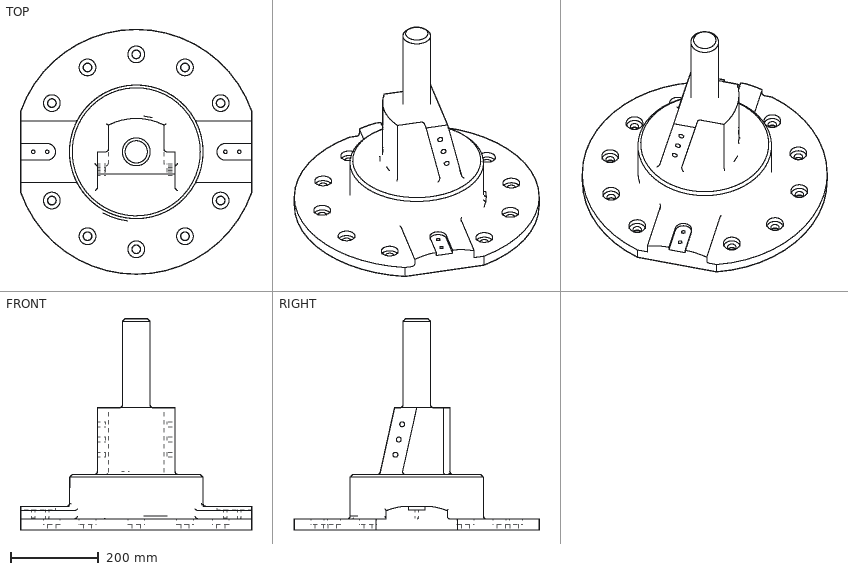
import cadquery as cq
import math

EDGE_SIZE = 6.35

PLATE_RADIUS = 279.4
PLATE_WIDTH = 527.05
PLATE_THICKNESS = 25.4

BOLT_CIRCLE_RADIUS = 222.25
BOLT_PITCH_COUNT = 12
BOLT_HOLE_DIAMETER = 19.05
COUNTERBORE_DIAMETER = 38.1
COUNTERBORE_DEPTH = 12.7

HUB_RADIUS = 152.4
HUB_TOP = 127.0

RAIL_HALF_WIDTH = 69.85
RAIL_SHOULDER_Z = 44.45
RAIL_CROWN_RADIUS = 203.2
RAIL_FLAT_HALF_WIDTH = 31.75

KEYWAY_WIDTH = 38.1
KEYWAY_DEPTH = 7.9375
KEYWAY_END_X = 203.2
TAPPED_HOLE_PITCH = 31.75
TAPPED_HOLE_DIAMETER = 7.9375
TAPPED_HOLE_DEPTH = 19.05
DRILL_POINT_ANGLE = math.radians(118)

BLOCK_TOP = 279.4
HEAD_HALF_WIDTH = 88.9
HEAD_FRONT_Y = -50.8
HEAD_BACK_Y = 0.0
HEAD_TILT = math.radians(12.5)
BACK_HALF_WIDTH = 63.5
BACK_ARC_RADIUS = 139.7
BACK_ARC_CROWN_Y = 76.2

SIDE_HOLE_DIAMETER = 11.1125
SIDE_HOLE_DEPTH = 19.05
SIDE_HOLE_PITCH = 35.56
SIDE_HOLE_MIDDLE_Z = 206.6
SIDE_HOLE_SETBACK = 25.4

SHAFT_RADIUS = 31.75
SHAFT_TOP = 482.6

RAIL_CROWN_CENTRE_Z = RAIL_SHOULDER_Z - math.sqrt(RAIL_CROWN_RADIUS**2 - RAIL_HALF_WIDTH**2)
RAIL_TOP = RAIL_CROWN_CENTRE_Z + math.sqrt(RAIL_CROWN_RADIUS**2 - RAIL_FLAT_HALF_WIDTH**2)
SMALL_GAP = 0.01


def tilted_y(y_at_top, z):
    """Y at height z of a line that leans with the block head."""
    return y_at_top - (BLOCK_TOP - z) * math.tan(HEAD_TILT)


def make_plate():
    disc = cq.Workplane("XY").circle(PLATE_RADIUS).extrude(PLATE_THICKNESS)
    flats = cq.Workplane("XY").rect(PLATE_WIDTH, 2 * PLATE_RADIUS).extrude(PLATE_THICKNESS)
    return disc.intersect(flats)


def make_rails():
    """One bar across the plate; the hub covers its middle."""
    mid_y = (RAIL_HALF_WIDTH + RAIL_FLAT_HALF_WIDTH) / 2
    mid_z = RAIL_CROWN_CENTRE_Z + math.sqrt(RAIL_CROWN_RADIUS**2 - mid_y**2)
    return (
        cq.Workplane("YZ", origin=(-PLATE_WIDTH / 2, 0, 0))
        .moveTo(-RAIL_HALF_WIDTH, 0)
        .lineTo(RAIL_HALF_WIDTH, 0)
        .lineTo(RAIL_HALF_WIDTH, RAIL_SHOULDER_Z)
        .threePointArc((mid_y, mid_z), (RAIL_FLAT_HALF_WIDTH, RAIL_TOP))
        .lineTo(-RAIL_FLAT_HALF_WIDTH, RAIL_TOP)
        .threePointArc((-mid_y, mid_z), (-RAIL_HALF_WIDTH, RAIL_SHOULDER_Z))
        .close()
        .extrude(PLATE_WIDTH)
    )


def make_base():
    """Plate, rails and hub, with the fillets where they meet."""
    hub = cq.Workplane("XY").circle(HUB_RADIUS).extrude(HUB_TOP)
    hub = hub.faces(">Z").edges().chamfer(EDGE_SIZE)
    base = make_plate().union(make_rails()).union(hub)
    around_hub = cq.selectors.BoxSelector(
        (-HUB_RADIUS - SMALL_GAP, -HUB_RADIUS - SMALL_GAP, PLATE_THICKNESS - SMALL_GAP),
        (HUB_RADIUS + SMALL_GAP, HUB_RADIUS + SMALL_GAP, RAIL_TOP + SMALL_GAP),
        boundingbox=True,
    )
    along_rails = cq.selectors.BoxSelector(
        (-PLATE_WIDTH, RAIL_HALF_WIDTH - SMALL_GAP, PLATE_THICKNESS - SMALL_GAP),
        (PLATE_WIDTH, RAIL_HALF_WIDTH + SMALL_GAP, PLATE_THICKNESS + SMALL_GAP),
        boundingbox=True,
    )
    return base.edges(around_hub + along_rails).fillet(EDGE_SIZE)


def make_block():
    """Upright back with a rounded rear, and a wider head that leans backwards."""
    head = (
        cq.Workplane("YZ", origin=(-HEAD_HALF_WIDTH, 0, 0))
        .moveTo(HEAD_FRONT_Y, BLOCK_TOP)
        .lineTo(HEAD_BACK_Y, BLOCK_TOP)
        .lineTo(tilted_y(HEAD_BACK_Y, HUB_TOP), HUB_TOP)
        .lineTo(tilted_y(HEAD_FRONT_Y, HUB_TOP), HUB_TOP)
        .close()
        .extrude(2 * HEAD_HALF_WIDTH)
    )
    arc_centre_y = BACK_ARC_CROWN_Y - BACK_ARC_RADIUS
    back_corner_y = arc_centre_y + math.sqrt(BACK_ARC_RADIUS**2 - BACK_HALF_WIDTH**2)
    back_start_y = (HEAD_FRONT_Y + tilted_y(HEAD_BACK_Y, HUB_TOP)) / 2
    back = (
        cq.Workplane("XY", origin=(0, 0, HUB_TOP))
        .moveTo(-BACK_HALF_WIDTH, back_start_y)
        .lineTo(BACK_HALF_WIDTH, back_start_y)
        .lineTo(BACK_HALF_WIDTH, back_corner_y)
        .threePointArc((0, BACK_ARC_CROWN_Y), (-BACK_HALF_WIDTH, back_corner_y))
        .close()
        .extrude(BLOCK_TOP - HUB_TOP)
    )
    block = head.union(back)
    for side in (-1, 1):
        corner_x = side * BACK_HALF_WIDTH
        corner_y_low = tilted_y(HEAD_BACK_Y, HUB_TOP)
        inner_corner = cq.selectors.BoxSelector(
            (corner_x - SMALL_GAP, corner_y_low - SMALL_GAP, HUB_TOP - SMALL_GAP),
            (corner_x + SMALL_GAP, HEAD_BACK_Y + SMALL_GAP, BLOCK_TOP + SMALL_GAP),
            boundingbox=True,
        )
        block = block.edges(inner_corner).fillet(EDGE_SIZE)
    return block


def add_block(body):
    body = body.union(make_block())
    foot = cq.selectors.BoxSelector(
        (-HEAD_HALF_WIDTH - SMALL_GAP, -HUB_RADIUS, HUB_TOP - SMALL_GAP),
        (HEAD_HALF_WIDTH + SMALL_GAP, BACK_ARC_CROWN_Y + SMALL_GAP, HUB_TOP + SMALL_GAP),
        boundingbox=True,
    )
    return body.edges(foot).fillet(EDGE_SIZE)


def add_shaft(body):
    shaft = (
        cq.Workplane("XY", origin=(0, 0, BLOCK_TOP))
        .circle(SHAFT_RADIUS)
        .extrude(SHAFT_TOP - BLOCK_TOP)
        .faces(">Z")
        .edges()
        .chamfer(EDGE_SIZE)
    )
    body = body.union(shaft)
    foot = cq.selectors.BoxSelector(
        (-SHAFT_RADIUS - SMALL_GAP, -SHAFT_RADIUS - SMALL_GAP, BLOCK_TOP - SMALL_GAP),
        (SHAFT_RADIUS + SMALL_GAP, SHAFT_RADIUS + SMALL_GAP, BLOCK_TOP + SMALL_GAP),
        boundingbox=True,
    )
    return body.edges(foot).fillet(EDGE_SIZE)


def cut_bolt_holes(body):
    step = 2 * math.pi / BOLT_PITCH_COUNT
    under_rails = (0, BOLT_PITCH_COUNT // 2)
    points = [
        (BOLT_CIRCLE_RADIUS * math.cos(i * step), BOLT_CIRCLE_RADIUS * math.sin(i * step))
        for i in range(BOLT_PITCH_COUNT)
        if i not in under_rails
    ]
    return (
        body.copyWorkplane(cq.Workplane("XY", origin=(0, 0, PLATE_THICKNESS)))
        .pushPoints(points)
        .cboreHole(BOLT_HOLE_DIAMETER, COUNTERBORE_DIAMETER, COUNTERBORE_DEPTH, PLATE_THICKNESS)
    )


def make_drilled_hole():
    """Blind hole with a conical bottom, running down from the origin."""
    radius = TAPPED_HOLE_DIAMETER / 2
    point_depth = radius / math.tan(DRILL_POINT_ANGLE / 2)
    return (
        cq.Workplane("XZ")
        .lineTo(radius, 0)
        .lineTo(radius, -TAPPED_HOLE_DEPTH)
        .lineTo(0, -TAPPED_HOLE_DEPTH - point_depth)
        .close()
        .revolve(360, (0, 0), (0, 1))
    )


def cut_keyways(body):
    """Open keyway in each rail with two drilled holes in its floor."""
    floor_z = RAIL_TOP - KEYWAY_DEPTH
    for side in (-1, 1):
        floor = cq.Workplane("XY", origin=(side * KEYWAY_END_X, 0, floor_z))
        run_out = PLATE_WIDTH / 2 - KEYWAY_END_X
        slot = floor.center(side * run_out / 2, 0).rect(run_out, KEYWAY_WIDTH).extrude(KEYWAY_DEPTH)
        round_end = floor.circle(KEYWAY_WIDTH / 2).extrude(KEYWAY_DEPTH)
        body = body.cut(slot).cut(round_end)
        for hole_x in (KEYWAY_END_X, KEYWAY_END_X + TAPPED_HOLE_PITCH):
            body = body.cut(make_drilled_hole().translate((side * hole_x, 0, floor_z)))
    return body


def cut_side_holes(body):
    """Three blind holes along each side of the head, in line with its tilted front."""
    line_y_at_top = HEAD_FRONT_Y + SIDE_HOLE_SETBACK / math.cos(HEAD_TILT)
    points = []
    for i in (-1, 0, 1):
        z = SIDE_HOLE_MIDDLE_Z + i * SIDE_HOLE_PITCH * math.cos(HEAD_TILT)
        points.append((tilted_y(line_y_at_top, z), z))
    for side in (-1, 1):
        holes = (
            cq.Workplane("YZ", origin=(side * HEAD_HALF_WIDTH, 0, 0))
            .pushPoints(points)
            .circle(SIDE_HOLE_DIAMETER / 2)
            .extrude(-side * SIDE_HOLE_DEPTH)
        )
        body = body.cut(holes)
    return body


result = make_base()
result = add_block(result)
result = add_shaft(result)
result = cut_bolt_holes(result)
result = cut_keyways(result)
result = cut_side_holes(result)